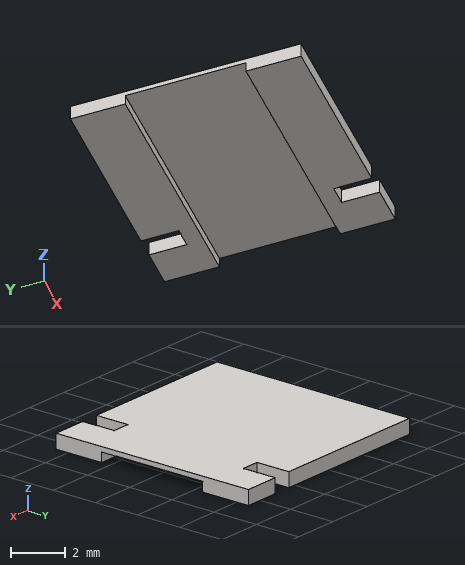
import cadquery as cq

length = 9.4
width = 9.14
thickness = 0.64

rail_width = 2.18
web_thickness = 0.22

notch_start = 7.05
notch_width = 0.79
notch_depth = 1.5


def corner_box(size_x, size_y, size_z, corner):
    """Box grown from its minimum corner towards +X, +Y and +Z."""
    return cq.Workplane("XY").box(size_x, size_y, size_z, centered=False).translate(corner)


plate = corner_box(length, width, thickness, (0, 0, 0))

channel = corner_box(
    length, width - 2 * rail_width, thickness - web_thickness, (0, rail_width, 0)
)
result = plate.cut(channel)

for notch_y in (0, width - notch_depth):
    notch = corner_box(notch_width, notch_depth, thickness, (notch_start, notch_y, 0))
    result = result.cut(notch)